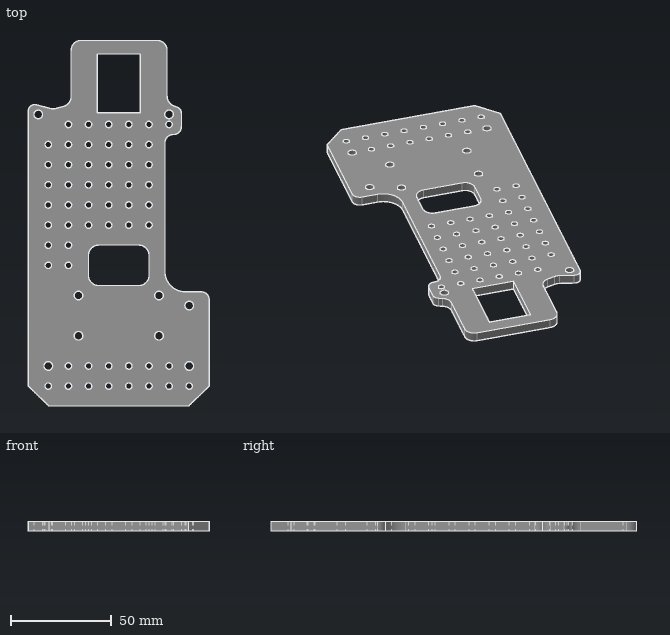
import cadquery as cq

pitch = 10.0
plate_width = 9 * pitch
plate_length = 182.0
thickness = 5.0
corner_chamfer_x = 10.4
corner_chamfer_y = pitch

body_right = 68.0
shoulder_y = 57.0
tab_left = 21.3
tab_right = 69.2
ear_right = 76.3
right_ear_bottom = 135.0
right_ear_top_outer = 148.0
right_ear_top_inner = 150.7
left_ear_top = 151.0
left_valley_x = 12.4
left_valley_y = 147.8
left_tab_root = 150.2

shoulder_blend_radius = pitch
outer_radius = 4.0
tab_radius = pitch / 2
ear_radius = 3.3

grid_hole_diameter = 3.1
mount_hole_diameter = 4.2
window_x = plate_width / 2
tab_window_width = 21.3
tab_window_length = 29.1
tab_window_y = 160.5
body_window_width = 3 * pitch
body_window_length = 2 * pitch
body_window_y = 7 * pitch
body_window_radius = pitch / 2


def plate():
    """Extrude the outline, then round its corners."""
    corners = [
        (corner_chamfer_x, 0, 0),
        (plate_width - corner_chamfer_x, 0, 0),
        (plate_width, corner_chamfer_y, 0),
        (plate_width, shoulder_y, outer_radius),
        (body_right, shoulder_y, shoulder_blend_radius),
        (body_right, right_ear_bottom, outer_radius),
        (ear_right, right_ear_bottom, outer_radius),
        (ear_right, right_ear_top_outer, ear_radius),
        (tab_right, right_ear_top_inner, tab_radius),
        (tab_right, plate_length, tab_radius),
        (tab_left, plate_length, tab_radius),
        (tab_left, left_tab_root, tab_radius),
        (left_valley_x, left_valley_y, tab_radius),
        (0, left_ear_top, ear_radius),
        (0, corner_chamfer_y, 0),
    ]
    body = cq.Workplane("XY").polyline([(x, y) for x, y, _ in corners]).close().extrude(thickness)
    for x, y, radius in corners:
        if radius > 0:
            corner_edge = cq.selectors.NearestToPointSelector((x, y, thickness / 2))
            body = body.edges("|Z").edges(corner_edge).fillet(radius)
    return body


def window(y, width, length):
    """Rectangular through-cutter on the window centre line."""
    return cq.Workplane("XY").center(window_x, y).rect(width, length).extrude(thickness)


def holes(grid_positions, diameter):
    """Round through-cutters at (column, row) positions counted in pitches."""
    points = [(column * pitch, row * pitch) for column, row in grid_positions]
    return cq.Workplane("XY").pushPoints(points).circle(diameter / 2).extrude(thickness)


grid_rows = {1: (1, 8), 2: (2, 7), 7: (1, 2), 8: (1, 2), 14: (2, 7)}
for full_row in range(9, 14):
    grid_rows[full_row] = (1, 6)

grid_positions = [
    (column, row)
    for row, (first, last) in grid_rows.items()
    for column in range(first, last + 1)
]

mount_positions = [(1, 2), (8, 2), (8, 5), (0.5, 14.5), (7, 14.5)]
mount_positions += [(column, row) for column in (2.5, 6.5) for row in (3.5, 5.5)]

tab_window = window(tab_window_y, tab_window_width, tab_window_length)
body_window = window(body_window_y, body_window_width, body_window_length)
body_window = body_window.edges("|Z").fillet(body_window_radius)

result = (
    plate()
    .cut(tab_window)
    .cut(body_window)
    .cut(holes(grid_positions, grid_hole_diameter))
    .cut(holes(mount_positions, mount_hole_diameter))
)